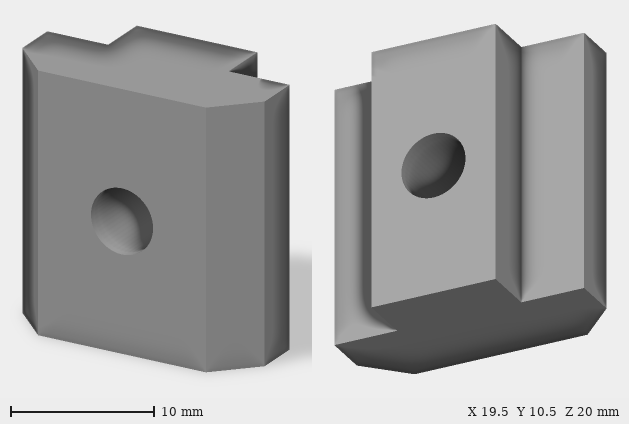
import cadquery as cq

width = 19.5
depth = 10.5
height = 20.0

stem_width = 9.7
stem_depth = 4.0
chamfer = 3.0
hole_diameter = 5.0

half_width = width / 2
half_stem = stem_width / 2
front = -depth / 2
back = depth / 2
shoulder = back - stem_depth

profile = [
    (-half_width + chamfer, front),
    (half_width - chamfer, front),
    (half_width, front + chamfer),
    (half_width, shoulder),
    (half_stem, shoulder),
    (half_stem, back),
    (-half_stem, back),
    (-half_stem, shoulder),
    (-half_width, shoulder),
    (-half_width, front + chamfer),
]
body = cq.Workplane("XY").polyline(profile).close().extrude(height / 2, both=True)

hole = cq.Workplane("XZ").circle(hole_diameter / 2).extrude(depth, both=True)

result = body.cut(hole)